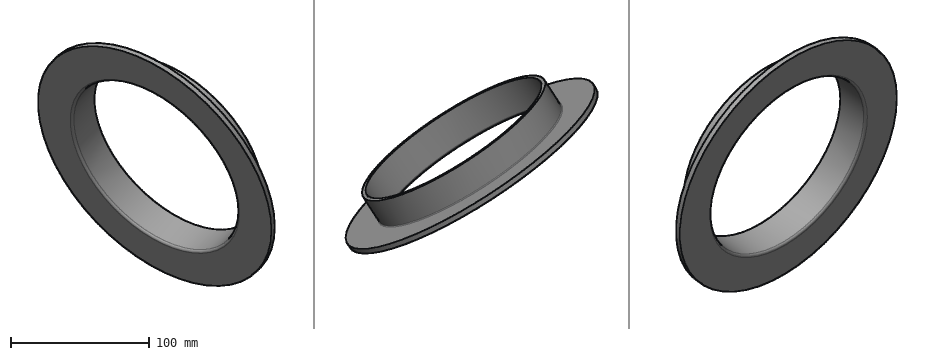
import cadquery as cq

flange_diameter = 212.0
flange_thickness = 4.2
total_depth = 27.0
tube_diameter = 156.0
bore_diameter = 149.9
bore_round = 2.0
root_fillet = 0.6

flange_radius = flange_diameter / 2
tube_radius = tube_diameter / 2
bore_radius = bore_diameter / 2

section = (
    cq.Workplane("XY")
    .moveTo(bore_radius + bore_round, 0)
    .lineTo(flange_radius, 0)
    .lineTo(flange_radius, flange_thickness)
    .lineTo(tube_radius + root_fillet, flange_thickness)
    .radiusArc((tube_radius, flange_thickness + root_fillet), root_fillet)
    .lineTo(tube_radius, total_depth)
    .lineTo(bore_radius, total_depth)
    .lineTo(bore_radius, bore_round)
    .radiusArc((bore_radius + bore_round, 0), -bore_round)
    .close()
)

result = section.revolve(360, (0, 0), (0, 1))